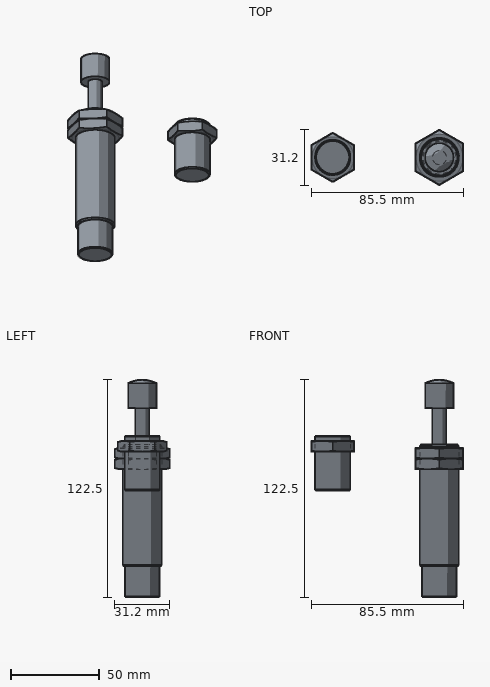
import cadquery as cq
import math

total_height = 122.5
body_dia = 22.0
body_top_dia = 20.3
body_top_chamfer_height = 1.1
body_top = 86.0
tail_dia = 19.6
tail_end_dia = 18.4
tail_height = 17.3
shoulder_chamfer_height = 0.9
rod_dia = 8.0
cap_dia = 16.0
cap_height = 16.0
dome_height = 2.0

stop_x = -60.0
stop_dia = 20.0
stop_length = 31.0
stop_top = 91.0
stop_chamfer = 0.7

nut_height = 6.0
nut_chamfer_angle = 15.0
bearing_face_ratio = 0.98
absorber_nut_flats = 27.0
lower_nut_bottom = 72.0
absorber_nut_count = 2
stop_nut_flats = 24.0
stop_nut_bottom = 82.0


def make_absorber():
    """Turned body with its tail, piston rod and domed cap."""
    body_radius = body_dia / 2
    tail_radius = tail_dia / 2
    tail_end_radius = tail_end_dia / 2
    rod_radius = rod_dia / 2
    cap_radius = cap_dia / 2
    cap_bottom = total_height - cap_height
    cap_edge = total_height - dome_height
    dome_radius = (cap_radius**2 + dome_height**2) / (2 * dome_height)
    dome_mid_x = cap_radius / 2
    dome_mid_z = total_height - dome_radius + math.sqrt(dome_radius**2 - dome_mid_x**2)
    return (
        cq.Workplane("XZ")
        .lineTo(tail_end_radius, 0)
        .lineTo(tail_radius, tail_radius - tail_end_radius)
        .lineTo(tail_radius, tail_height)
        .lineTo(body_radius - shoulder_chamfer_height, tail_height)
        .lineTo(body_radius, tail_height + shoulder_chamfer_height)
        .lineTo(body_radius, body_top - body_top_chamfer_height)
        .lineTo(body_top_dia / 2, body_top)
        .lineTo(rod_radius, body_top)
        .lineTo(rod_radius, cap_bottom)
        .lineTo(cap_radius, cap_bottom)
        .lineTo(cap_radius, cap_edge)
        .threePointArc((dome_mid_x, dome_mid_z), (0, total_height))
        .close()
        .revolve(360, (0, 0), (0, 1))
    )


def make_stop_screw():
    """Plain round stop with both ends chamfered."""
    return (
        cq.Workplane("XY", origin=(stop_x, 0, stop_top - stop_length))
        .circle(stop_dia / 2)
        .extrude(stop_length)
        .faces("<Z or >Z")
        .chamfer(stop_chamfer)
    )


def make_nut(flats, bore_dia, x, bottom):
    """Hexagon nut with two flats facing X and corners chamfered on both ends."""
    corner_dia = flats / math.cos(math.pi / 6)
    corner_radius = corner_dia / 2
    face_radius = bearing_face_ratio * flats / 2
    corner_drop = (corner_radius - face_radius) * math.tan(math.radians(nut_chamfer_angle))
    hexagon = (
        cq.Workplane("XY")
        .transformed(rotate=(0, 0, 90))
        .polygon(6, corner_dia)
        .circle(bore_dia / 2)
        .extrude(nut_height)
    )
    chamfer_envelope = (
        cq.Workplane("XZ")
        .lineTo(face_radius, 0)
        .lineTo(corner_radius, corner_drop)
        .lineTo(corner_radius, nut_height - corner_drop)
        .lineTo(face_radius, nut_height)
        .lineTo(0, nut_height)
        .close()
        .revolve(360, (0, 0), (0, 1))
    )
    return hexagon.intersect(chamfer_envelope).translate((x, 0, bottom))


absorber = make_absorber()
absorber_nuts = [
    make_nut(absorber_nut_flats, body_dia, 0, lower_nut_bottom + i * nut_height)
    for i in range(absorber_nut_count)
]
stop_screw = make_stop_screw()
stop_nut = make_nut(stop_nut_flats, stop_dia, stop_x, stop_nut_bottom)

result = cq.Compound.makeCompound(
    [absorber.val(), *[nut.val() for nut in absorber_nuts], stop_screw.val(), stop_nut.val()]
)